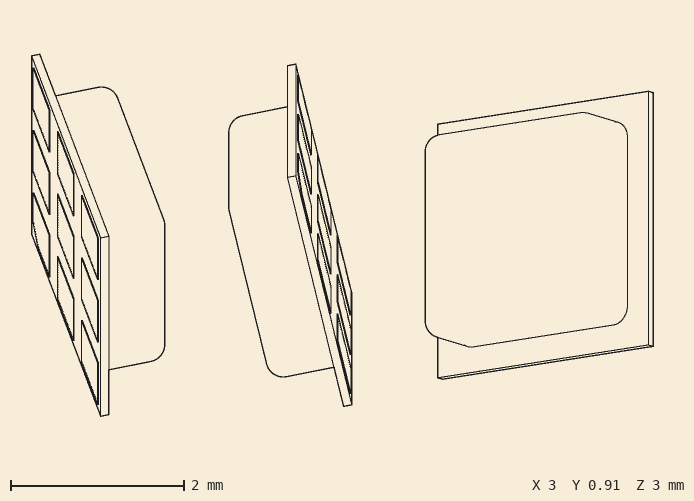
import cadquery as cq

plate_side = 3.0
plate_thickness = 0.1

block_side = 2.4
block_height = 0.8
block_radius = 0.2

pad_side = 0.7
pad_pitch = 1.05
pad_thickness = 0.01
pad_corner_cut = 0.2
pads_per_side = 3


def make_housing():
    """Thin square plate with a rounded block rising from its back, as one solid."""
    plate = cq.Workplane("XY").box(
        plate_side, plate_thickness, plate_side, centered=(True, False, True)
    )
    block = (
        cq.Workplane("XY")
        .box(block_side, block_height, block_side, centered=(True, False, True))
        .edges("|Y or >Y")
        .fillet(block_radius)
        .translate((0, plate_thickness, 0))
    )
    return plate.union(block)


def make_pad(column, row):
    """One square pad of the grid, counted from the low-X, low-Z corner."""
    middle_index = (pads_per_side - 1) / 2
    x = (column - middle_index) * pad_pitch
    z = (row - middle_index) * pad_pitch
    pad = cq.Workplane("XY").box(pad_side, pad_thickness, pad_side)
    if column == 0 and row == 0:
        pad = pad.edges("|Y and <X and <Z").chamfer(pad_corner_cut)
    return pad.translate((x, -pad_thickness / 2, z))


housing = make_housing()

pads = []
for row in range(pads_per_side):
    for column in range(pads_per_side):
        pads.append(make_pad(column, row).val())

result = cq.Compound.makeCompound([housing.val(), *pads])